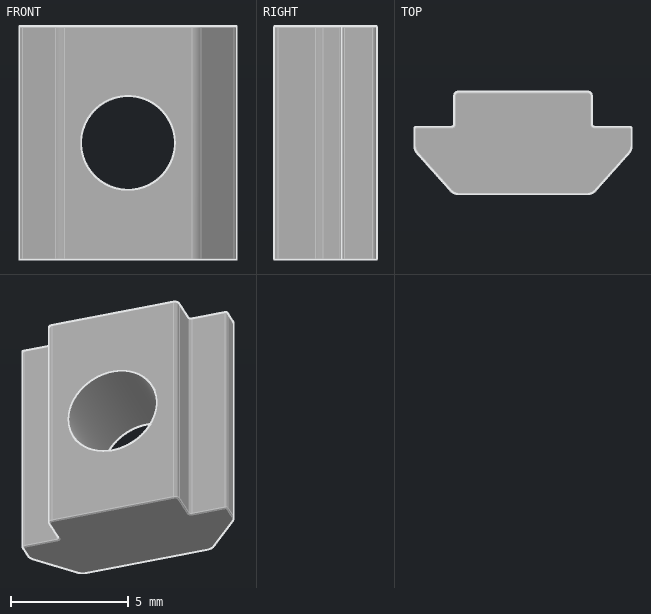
import cadquery as cq

width = 9.3
depth = 4.4
length = 10.0

tongue_width = 5.9
tongue_height = 1.5
flange_edge_height = 1.0
base_width = tongue_width

bevel_radius = 0.5
tongue_radius = 0.2
step_radius = 0.1
end_radius = 0.05
hole_diameter = 4.0

base_y = -depth / 2
top_y = depth / 2
flange_top_y = top_y - tongue_height
bevel_top_y = flange_top_y - flange_edge_height


def round_long_edges(body, half_width, y, radius):
    """Round the mirrored pair of lengthwise edges at +/- half_width and y."""
    for x in (-half_width, half_width):
        nearest = cq.selectors.NearestToPointSelector((x, y, 0))
        body = body.edges("|Z").edges(nearest).fillet(radius)
    return body


body = (
    cq.Workplane("XY")
    .workplane(offset=-length / 2)
    .moveTo(0, base_y)
    .lineTo(base_width / 2, base_y)
    .lineTo(width / 2, bevel_top_y)
    .lineTo(width / 2, flange_top_y)
    .lineTo(tongue_width / 2, flange_top_y)
    .lineTo(tongue_width / 2, top_y)
    .lineTo(0, top_y)
    .mirrorY()
    .extrude(length)
)

body = round_long_edges(body, base_width / 2, base_y, bevel_radius)
body = round_long_edges(body, width / 2, bevel_top_y, bevel_radius)
body = round_long_edges(body, width / 2, flange_top_y, step_radius)
body = round_long_edges(body, tongue_width / 2, flange_top_y, step_radius)
body = round_long_edges(body, tongue_width / 2, top_y, tongue_radius)

body = body.faces("<Z or >Z").edges().fillet(end_radius)

hole = (
    cq.Workplane("XZ")
    .circle(hole_diameter / 2)
    .extrude(depth, both=True)
)
result = body.cut(hole)